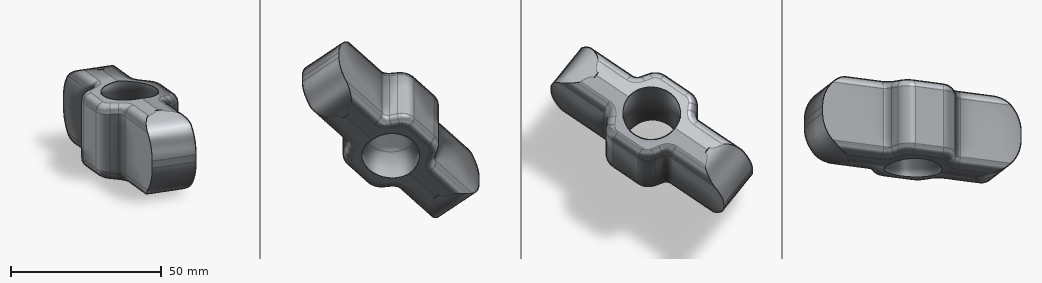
import cadquery as cq
import math


LENGTH = 71.12
HUB_WIDTH = 29.21
ARM_WIDTH = 16.0
RIDGE_HEIGHT = 28.06

BORE_DIAMETER = 19.05
HUB_FLAT_LENGTH = 10.16
HUB_CORNER_RADIUS = 5.8
ARM_ROOT_RADIUS = 2.6
FLANK_ANGLE = math.radians(60.0)

ROOF_SLOPE = math.radians(5.0)
END_HEIGHT = 27.87
END_RADIUS = 12.7
HUB_EDGE_RADIUS = 3.05
ARM_EDGE_RADIUS = 3.5

half_length = LENGTH / 2
half_hub = HUB_WIDTH / 2
half_arm = ARM_WIDTH / 2
half_height = RIDGE_HEIGHT / 2

hub_corner_x = HUB_FLAT_LENGTH / 2 + HUB_CORNER_RADIUS * math.tan(FLANK_ANGLE / 2)
arm_root_x = hub_corner_x + (half_hub - half_arm) / math.tan(FLANK_ANGLE)


def make_plan_body():
    """Prism of the arms and hub, with rounded hub corners and arm roots."""
    quarter = [
        (hub_corner_x, half_hub),
        (arm_root_x, half_arm),
        (half_length, half_arm),
    ]
    back = [(-x, y) for x, y in reversed(quarter)] + quarter
    front = [(-x, -y) for x, y in back]
    prism = cq.Workplane("XY").polyline(back + front).close().extrude(half_height, both=True)

    halfway_x = (arm_root_x + half_length) / 2
    halfway_y = (half_arm + half_hub) / 2
    arm_roots = [
        edge
        for edge in prism.edges("|Z").vals()
        if abs(edge.Center().x) < halfway_x and abs(edge.Center().y) < halfway_y
    ]
    prism = prism.newObject(arm_roots).fillet(ARM_ROOT_RADIUS)
    hub_corners = [edge for edge in prism.edges("|Z").vals() if abs(edge.Center().y) > halfway_y]
    return prism.newObject(hub_corners).fillet(HUB_CORNER_RADIUS)


def make_roof_envelope():
    """Bar along X whose top and bottom fall away from a central ridge."""
    eave_z = half_height - half_hub * math.tan(ROOF_SLOPE)
    return (
        cq.Workplane("YZ")
        .polyline([
            (0, half_height),
            (half_hub, eave_z),
            (half_hub, -eave_z),
            (0, -half_height),
            (-half_hub, -eave_z),
            (-half_hub, eave_z),
        ])
        .close()
        .extrude(half_length, both=True)
    )


def round_long_edges(body):
    """Round the four edge chains, blending the two radii along the arm roots.

    The modelling kernel's own fillet is used because its radius may vary along a chain.
    """
    fillet = cq.occ_impl.shapes.BRepFilletAPI_MakeFillet(body.val().wrapped)
    for roof in (">Z", "<Z"):
        for flat in (">Y", "<Y"):
            flat_edge = body.faces(flat).edges(roof).val()
            fillet.Add(HUB_EDGE_RADIUS, flat_edge.wrapped)

    for chain in range(1, fillet.NbContours() + 1):
        last = fillet.NbEdges(chain)
        fillet.SetRadius(ARM_EDGE_RADIUS, chain, 1)
        fillet.SetRadius(ARM_EDGE_RADIUS, HUB_EDGE_RADIUS, chain, 2)
        for hub_edge in range(3, last - 1):
            fillet.SetRadius(HUB_EDGE_RADIUS, chain, hub_edge)
        fillet.SetRadius(HUB_EDGE_RADIUS, ARM_EDGE_RADIUS, chain, last - 1)
        fillet.SetRadius(ARM_EDGE_RADIUS, chain, last)
    return body.newObject([cq.Shape.cast(fillet.Shape())])


def make_end_envelope():
    """Block with round arm ends; its middle is high enough to keep the ridges."""
    rounded = (
        cq.Workplane("XZ")
        .rect(LENGTH, END_HEIGHT)
        .extrude(half_hub, both=True)
        .edges("|Y")
        .fillet(END_RADIUS)
    )
    middle = cq.Workplane("XY").box(LENGTH - 2 * END_RADIUS, HUB_WIDTH, RIDGE_HEIGHT)
    return rounded.union(middle)


def make_bore():
    """Through bore along Z at the middle of the hub."""
    return cq.Workplane("XY").circle(BORE_DIAMETER / 2).extrude(half_height, both=True)


sharp_body = make_plan_body().intersect(make_roof_envelope())
rounded_body = round_long_edges(sharp_body)
handle = rounded_body.intersect(make_end_envelope()).cut(make_bore())
result = cq.Workplane("XY").newObject([handle.solids().val()])